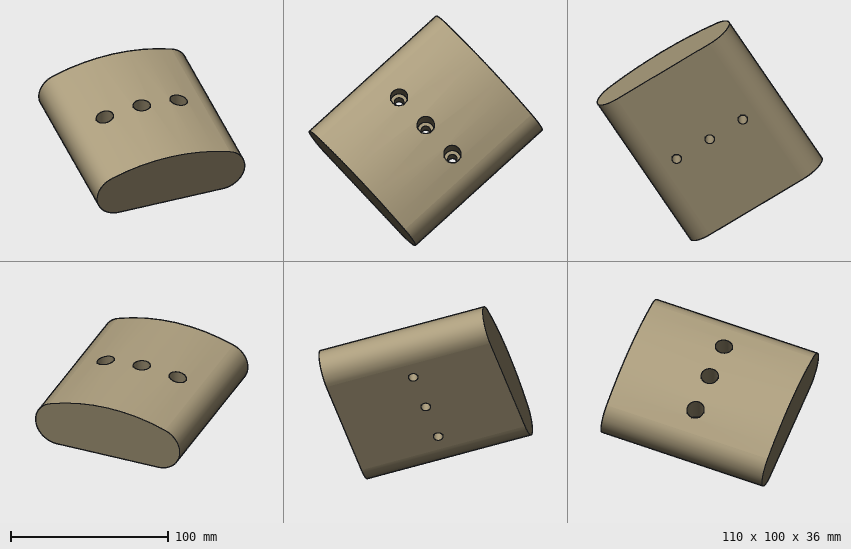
import cadquery as cq
import math

length = 110.0
width = 100.0
height = 36.0
side_radius = 15.0
hole_diameter = 6.0
counterbore_diameter = 11.0
counterbore_floor = 15.0
hole_count = 3
hole_spacing = width / 4

side_center_y = width / 2 - side_radius
crown_rise = height - side_radius
crown_radius = (side_center_y**2 + crown_rise**2 - side_radius**2) / (2 * (crown_rise - side_radius))
crown_center_z = height - crown_radius
tangent_angle = math.asin(side_center_y / (crown_radius - side_radius))
tangent_y = crown_radius * math.sin(tangent_angle)
tangent_z = crown_center_z + crown_radius * math.cos(tangent_angle)


def make_body():
    """Flat-bottomed, crowned profile extruded along X, centred on the origin."""
    return (
        cq.Workplane("YZ", origin=(-length / 2, 0, 0))
        .moveTo(-side_center_y, 0)
        .lineTo(side_center_y, 0)
        .threePointArc((width / 2, side_radius), (tangent_y, tangent_z))
        .threePointArc((0, height), (-tangent_y, tangent_z))
        .threePointArc((-width / 2, side_radius), (-side_center_y, 0))
        .close()
        .extrude(length)
    )


def make_vertical_holes(diameter, bottom_z):
    """Row of vertical cylinders along Y, from bottom_z up to the crown."""
    return (
        cq.Workplane("XY", origin=(0, 0, bottom_z))
        .rarray(1.1, hole_spacing, 1, hole_count)
        .circle(diameter / 2)
        .extrude(height - bottom_z)
    )


through_holes = make_vertical_holes(hole_diameter, 0)
counterbores = make_vertical_holes(counterbore_diameter, counterbore_floor)
result = make_body().cut(through_holes).cut(counterbores)